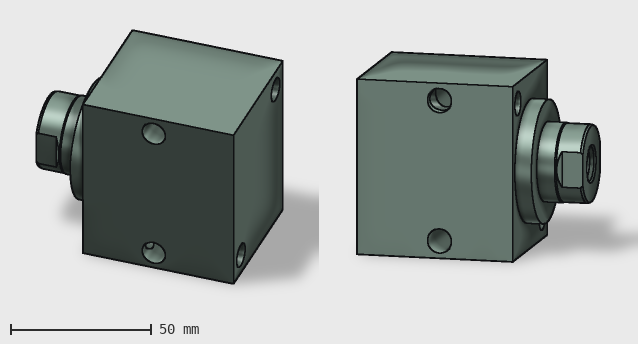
import cadquery as cq
import math

total_length = 79.5
body_length = 57.0
body_width = 50.8
body_height = 63.5
body_front = total_length - body_length

flange_diameter = 44.45
flange_thickness = 6.05
flange_front = body_front - flange_thickness

rod_diameter = 28.6
tip_diameter = 28.2
shoulder_position = 9.9
shoulder_length = 0.55
tip_chamfer_length = 0.9
tip_chamfer_depth = 0.3

across_flats = 25.1
flat_length = 7.6
runout_angle = 45.0

bore_diameter = 11.2
cone_diameter = 12.4
cone_end = 2.1
bore_mouth_diameter = 13.7
bore_depth = 19.1

hole_diameter = 8.75
cross_hole_position = 49.3
cross_hole_offset = 25.45
long_hole_offset_y = 17.8
long_hole_offset_z = 24.2


def make_body():
    body = cq.Workplane("XY").box(body_length, body_width, body_height)
    return body.translate((body_front + body_length / 2, 0, 0))


def make_flange():
    flange = cq.Workplane("YZ", origin=(flange_front, 0, 0))
    return flange.circle(flange_diameter / 2).extrude(flange_thickness)


def make_rod():
    tip_radius = tip_diameter / 2
    rod_radius = rod_diameter / 2
    profile = [
        (0, 0),
        (0, tip_radius - tip_chamfer_depth),
        (tip_chamfer_length, tip_radius),
        (shoulder_position - shoulder_length, tip_radius),
        (shoulder_position, rod_radius),
        (body_front, rod_radius),
        (body_front, 0),
    ]
    return cq.Workplane("XY").polyline(profile).close().revolve(360, (0, 0), (1, 0))


def make_flat_cutter(side):
    """Wedge-ended cutter for the flat on the +Y (side = 1) or -Y (side = -1) side."""
    inner = across_flats / 2
    outer = rod_diameter / 2 + 0.8
    runout_length = (outer - inner) / math.tan(math.radians(runout_angle))
    profile = [
        (0, side * inner),
        (flat_length, side * inner),
        (flat_length + runout_length, side * outer),
        (0, side * outer),
    ]
    return cq.Workplane("XY").polyline(profile).close().extrude(rod_diameter / 2, both=True)


def make_bore():
    bore_radius = bore_diameter / 2
    cone_radius = cone_diameter / 2
    mouth_radius = bore_mouth_diameter / 2
    chamfer_length = mouth_radius - cone_radius
    profile = [
        (0, 0),
        (0, mouth_radius),
        (chamfer_length, cone_radius),
        (cone_end, bore_radius),
        (bore_depth, bore_radius),
        (bore_depth, 0),
    ]
    return cq.Workplane("XY").polyline(profile).close().revolve(360, (0, 0), (1, 0))


def make_cross_holes():
    """Two holes through the block along Y."""
    centers = [(cross_hole_position, cross_hole_offset), (cross_hole_position, -cross_hole_offset)]
    holes = cq.Workplane("XZ").pushPoints(centers).circle(hole_diameter / 2)
    return holes.extrude(body_width, both=True)


def make_long_holes():
    """Two diagonally opposite holes through the block along X."""
    centers = [(long_hole_offset_y, long_hole_offset_z), (-long_hole_offset_y, -long_hole_offset_z)]
    return cq.Workplane("YZ").pushPoints(centers).circle(hole_diameter / 2).extrude(total_length)


result = make_body().union(make_flange()).union(make_rod())
for side in (1, -1):
    result = result.cut(make_flat_cutter(side))
result = result.cut(make_bore()).cut(make_cross_holes()).cut(make_long_holes())